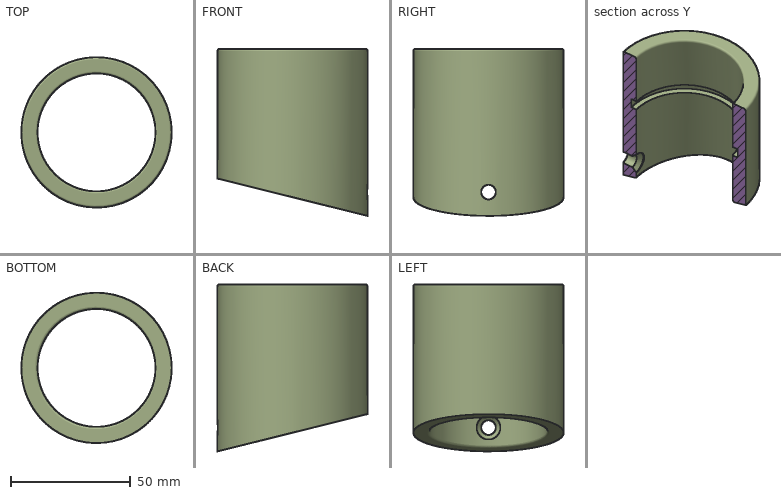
import cadquery as cq

height = 70.0
outer_radius = 31.5
bore_radius = 24.65
short_side_height = 54.3
edge_radius = 1.0

groove_radius = 27.15
groove_top_depth = 25.0
groove_width = 4.4

hole_radius = 3.0
hole_depth = 60.0
flare_radius = 5.0
flare_length = flare_radius - hole_radius


def make_sleeve():
    """Tube with a slanted lower end and rounded rims."""
    outline = (
        cq.Workplane("XZ")
        .moveTo(-outer_radius, height)
        .lineTo(outer_radius, height)
        .lineTo(outer_radius, 0)
        .lineTo(-outer_radius, height - short_side_height)
        .close()
    )
    slanted_block = outline.extrude(outer_radius, both=True)
    tube = cq.Workplane("XY").circle(outer_radius).circle(bore_radius).extrude(height)
    sleeve = tube.intersect(slanted_block)
    sleeve = sleeve.faces(">Z").edges().fillet(edge_radius)
    rim_reach = (bore_radius + outer_radius) / 2
    rim_box = cq.selectors.BoxSelector(
        (-rim_reach, -rim_reach, 0), (rim_reach, rim_reach, short_side_height), boundingbox=True
    )
    return sleeve.edges("not(|Z)").edges(rim_box).fillet(edge_radius)


def make_groove():
    """Ring that widens the bore."""
    groove_floor = height - groove_top_depth - groove_width
    return cq.Workplane("XY", origin=(0, 0, groove_floor)).circle(groove_radius).extrude(groove_width)


def make_radial_hole():
    """Straight hole along +X and its conical flare at the bore wall."""
    hole_height = height - hole_depth
    profile = (
        cq.Workplane("XZ", origin=(0, 0, hole_height))
        .lineTo(0, flare_radius)
        .lineTo(bore_radius, flare_radius)
        .lineTo(bore_radius + flare_length, hole_radius)
        .lineTo(2 * outer_radius, hole_radius)
        .lineTo(2 * outer_radius, 0)
        .close()
    )
    return profile.revolve(360, (0, 0, 0), (1, 0, 0))


result = make_sleeve().cut(make_groove()).cut(make_radial_hole())